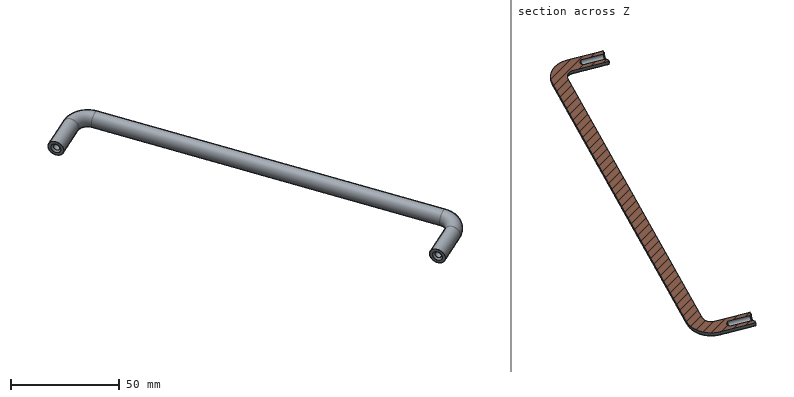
import cadquery as cq
import math

length = 200.0
depth = 30.0
rod_diameter = 8.0

bend_radius = 8.5
hole_diameter = 3.2
hole_depth = 12.0
drill_point_angle = 118.0
countersink_diameter = 5.0

rod_radius = rod_diameter / 2
leg_x = length / 2 - rod_radius
grip_y = depth / 2 - rod_radius
foot_y = -depth / 2
bend_start_y = grip_y - bend_radius
grip_end_x = leg_x - bend_radius


def bent_rod():
    """Round rod swept along the U-shaped centreline."""
    centreline = (
        cq.Workplane("XY")
        .moveTo(-leg_x, foot_y)
        .lineTo(-leg_x, bend_start_y)
        .radiusArc((-grip_end_x, grip_y), bend_radius)
        .lineTo(grip_end_x, grip_y)
        .radiusArc((leg_x, bend_start_y), bend_radius)
        .lineTo(leg_x, foot_y)
    )
    return cq.Workplane("XZ", origin=(-leg_x, foot_y, 0)).circle(rod_radius).sweep(centreline)


def mounting_hole(x):
    """Drilled blind hole with a conical bottom and a 45 degree chamfer at the mouth."""
    hole_radius = hole_diameter / 2
    mouth_radius = countersink_diameter / 2
    chamfer = mouth_radius - hole_radius
    point_length = hole_radius / math.tan(math.radians(drill_point_angle / 2))
    half_section = (
        cq.Workplane("XY", origin=(x, foot_y, 0))
        .lineTo(mouth_radius, 0)
        .lineTo(hole_radius, chamfer)
        .lineTo(hole_radius, hole_depth)
        .lineTo(0, hole_depth + point_length)
        .close()
    )
    return half_section.revolve(360, (0, 0), (0, 1))


result = bent_rod()
for x in (-leg_x, leg_x):
    result = result.cut(mounting_hole(x))